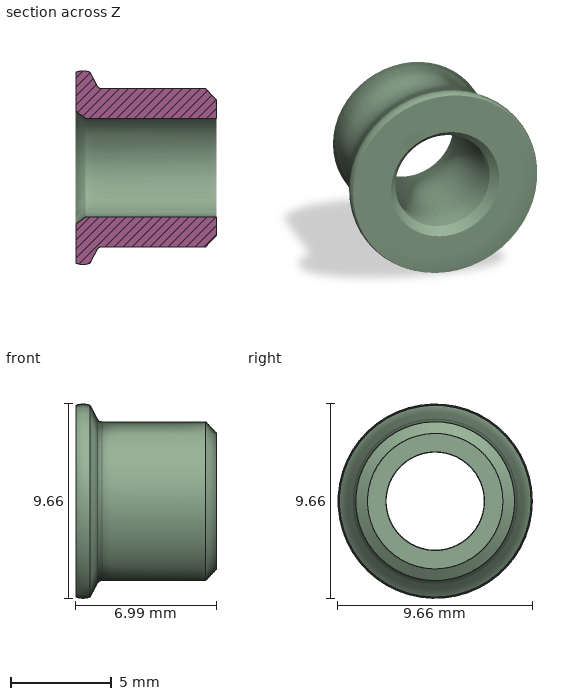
import cadquery as cq
import math

length = 6.99
flange_radius = 9.66 / 2
barrel_radius = 7.89 / 2
bore_radius = 4.88 / 2

rim_width = 0.71
rim_crown_x = rim_width / 2
rim_crown_height = 0.07
rim_edge_radius = flange_radius - rim_crown_height

cone_angle = math.radians(60)
neck_fillet = 0.26
neck_end_x = 1.28
neck_start_x = neck_end_x - neck_fillet * math.sin(cone_angle)
neck_start_radius = barrel_radius + neck_fillet * (1 - math.cos(cone_angle))
neck_mid_x = neck_end_x - neck_fillet * math.sin(cone_angle / 2)
neck_mid_radius = barrel_radius + neck_fillet * (1 - math.cos(cone_angle / 2))

tip_chamfer_length = 0.55
tip_chamfer_depth = 0.58
bore_chamfer_length = 0.48
bore_chamfer_depth = 0.36

half_section = (
    cq.Workplane("XY")
    .moveTo(0, bore_radius + bore_chamfer_depth)
    .lineTo(0, rim_edge_radius)
    .threePointArc((rim_crown_x, flange_radius), (rim_width, rim_edge_radius))
    .lineTo(neck_start_x, neck_start_radius)
    .threePointArc((neck_mid_x, neck_mid_radius), (neck_end_x, barrel_radius))
    .lineTo(length - tip_chamfer_length, barrel_radius)
    .lineTo(length, barrel_radius - tip_chamfer_depth)
    .lineTo(length, bore_radius)
    .lineTo(bore_chamfer_length, bore_radius)
    .close()
)

result = half_section.revolve(360, (0, 0, 0), (1, 0, 0))